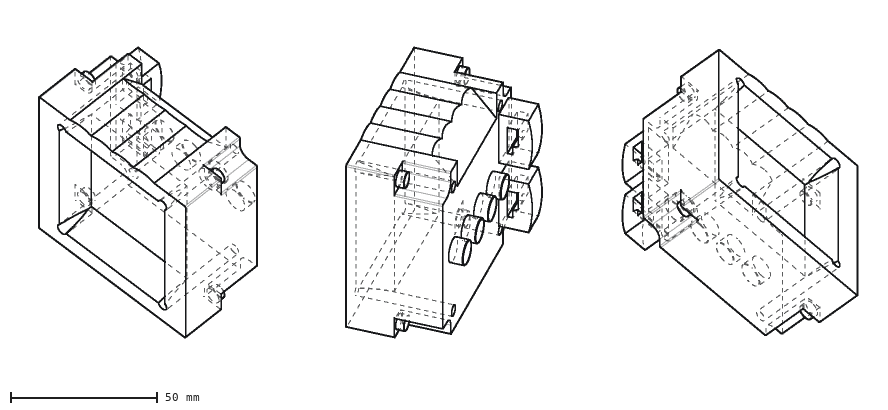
import cadquery as cq
import math

WIDTH = 70.0
HEIGHT = 70.0
FRAME_DEPTH = 13.1
BLOCK_DEPTH = 35.0
EDGE_RADIUS = 0.5
MID_HEIGHT = HEIGHT / 2

RIDGE_COUNT = 4
RIDGE_PITCH = 10.0
RIDGE_HEIGHT = 1.0
RIDGE_LENGTH = 25.9
RIDGE_ROW_WIDTH = RIDGE_COUNT * RIDGE_PITCH

SLOPE_ANGLE = 50

WINDOW_WIDTH = 50.4
WINDOW_HEIGHT = 54.2
WINDOW_INSET = 2.5
CORNER_HOLE_DIAMETER = 4.0
CORNER_HOLE_SPAN_X = 48.0
CORNER_HOLE_SPAN_Z = 53.2

SCREW_EDGE_DISTANCE = 4.2
SCREW_X = -WIDTH / 2 + SCREW_EDGE_DISTANCE
SCREW_Z = HEIGHT - SCREW_EDGE_DISTANCE
RECESS_DIAMETER = 8.0
RECESS_FLOOR = 17.5
SCREW_HEAD_DIAMETER = 5.8
SCREW_HEAD_HEIGHT = 3.0
SCREW_HEAD_CHAMFER = 0.15

BOSS_COUNT = 4
BOSS_PITCH = 12.9
BOSS_ROW_CENTER_X = 5.1
BOSS_DIAMETER = 9.0
BOSS_HEIGHT = 5.2
BOSS_CHAMFER = 0.2

LUG_CENTER_X = -27.4
LUG_WIDTH = 10.0
LUG_HEIGHT = 20.9
LUG_PITCH = 27.25
LUG_SIDE_LENGTH = 10.8
LUG_CROWN_LENGTH = 12.1
SLOT_NEAR = 3.1
SLOT_STEP = 5.0
SLOT_FAR = 6.95
SLOT_HEIGHT = 11.1
SLOT_RAMP_TOP = 4.0
SLOT_RAMP_BOTTOM = 3.05


def box(x_min, x_max, y_min, y_max, z_min, z_max):
    size = (x_max - x_min, y_max - y_min, z_max - z_min)
    return cq.Workplane("XY").box(*size, centered=False).translate((x_min, y_min, z_min))


def facing_rear(y):
    """Workplane at depth y whose normal is +Y; its local axes are -X and Z."""
    return cq.Workplane(cq.Plane(origin=(0, y, 0), xDir=(-1, 0, 0), normal=(0, 1, 0)))


def make_front_block():
    """Frame and the front stretch of the housing, ahead of the corner recesses."""
    block = box(-WIDTH / 2, WIDTH / 2, 0, RECESS_FLOOR, 0, HEIGHT)
    return block.edges("|Y").fillet(EDGE_RADIUS)


def make_rear_block():
    """Rear stretch of the housing with its four recessed corners."""
    block = box(-WIDTH / 2, WIDTH / 2, RECESS_FLOOR, BLOCK_DEPTH, 0, HEIGHT)
    block = block.cut(at_all_corners(make_corner_recess()))
    outer_edges = block.faces("<X or >X or <Z or >Z").edges("|Y")
    return outer_edges.fillet(EDGE_RADIUS)


def make_ridges():
    x = -RIDGE_ROW_WIDTH / 2
    profile = facing_rear(0).moveTo(-x, HEIGHT)
    for _ in range(RIDGE_COUNT):
        crest = (-(x + RIDGE_PITCH / 2), HEIGHT + RIDGE_HEIGHT)
        x += RIDGE_PITCH
        profile = profile.threePointArc(crest, (-x, HEIGHT))
    profile = profile.lineTo(-x, MID_HEIGHT).lineTo(RIDGE_ROW_WIDTH / 2, MID_HEIGHT).close()
    return profile.extrude(RIDGE_LENGTH)


def make_slope_cutter():
    """Wedge falling from the ridge crests to the rear face."""
    rise_per_depth = math.tan(math.radians(SLOPE_ANGLE))
    start_y = RIDGE_LENGTH - RIDGE_HEIGHT / rise_per_depth
    top = HEIGHT + RIDGE_HEIGHT
    bottom = top - (BLOCK_DEPTH - start_y) * rise_per_depth
    points = [(start_y, top), (BLOCK_DEPTH, top), (BLOCK_DEPTH, bottom)]
    profile = cq.Workplane("YZ").polyline(points).close()
    return profile.extrude(RIDGE_ROW_WIDTH / 2, both=True)


def make_window():
    return (
        facing_rear(0).center(0, MID_HEIGHT).rect(WINDOW_WIDTH, WINDOW_HEIGHT)
        .workplane(offset=FRAME_DEPTH)
        .rect(WINDOW_WIDTH - 2 * WINDOW_INSET, WINDOW_HEIGHT - 2 * WINDOW_INSET)
        .loft(combine=True)
    )


def make_corner_holes():
    return (
        facing_rear(0).center(0, MID_HEIGHT)
        .rect(CORNER_HOLE_SPAN_X, CORNER_HOLE_SPAN_Z, forConstruction=True).vertices()
        .circle(CORNER_HOLE_DIAMETER / 2).extrude(BLOCK_DEPTH)
    )


def at_all_corners(shape):
    """Copies of a shape made at the -X, +Z corner, mirrored to all four corners."""
    pair = shape.union(shape.mirror("YZ"))
    return pair.union(pair.mirror("XY", (0, 0, MID_HEIGHT)))


def make_corner_recess():
    radius = RECESS_DIAMETER / 2
    depth = BLOCK_DEPTH - RECESS_FLOOR
    bore = facing_rear(RECESS_FLOOR).center(-SCREW_X, SCREW_Z).circle(radius).extrude(depth)
    side_opening = box(-WIDTH / 2, SCREW_X, RECESS_FLOOR, BLOCK_DEPTH, SCREW_Z - radius, HEIGHT)
    top_opening = box(-WIDTH / 2, SCREW_X + radius, RECESS_FLOOR, BLOCK_DEPTH, SCREW_Z, HEIGHT)
    return bore.union(side_opening).union(top_opening)


def make_screw_head():
    outline = facing_rear(RECESS_FLOOR).center(-SCREW_X, SCREW_Z).circle(SCREW_HEAD_DIAMETER / 2)
    head = outline.extrude(SCREW_HEAD_HEIGHT)
    return head.faces(">Y").chamfer(SCREW_HEAD_CHAMFER)


def make_bosses():
    first_x = BOSS_ROW_CENTER_X - BOSS_PITCH * (BOSS_COUNT - 1) / 2
    centers = [(-(first_x + BOSS_PITCH * i), MID_HEIGHT) for i in range(BOSS_COUNT)]
    bosses = facing_rear(BLOCK_DEPTH).pushPoints(centers).circle(BOSS_DIAMETER / 2).extrude(BOSS_HEIGHT)
    return bosses.faces(">Y").chamfer(BOSS_CHAMFER)


def make_lug(center_z):
    plane = cq.Plane(origin=(LUG_CENTER_X, BLOCK_DEPTH, center_z), xDir=(0, 1, 0), normal=(1, 0, 0))
    half_height = LUG_HEIGHT / 2
    lug = (
        cq.Workplane(plane).moveTo(0, -half_height).lineTo(LUG_SIDE_LENGTH, -half_height)
        .threePointArc((LUG_CROWN_LENGTH, 0), (LUG_SIDE_LENGTH, half_height))
        .lineTo(0, half_height).close().extrude(LUG_WIDTH / 2, both=True)
    )
    half_slot = SLOT_HEIGHT / 2
    slot_points = [
        (SLOT_NEAR, half_slot),
        (SLOT_FAR, half_slot),
        (SLOT_FAR, SLOT_RAMP_TOP - half_slot),
        (SLOT_STEP, SLOT_RAMP_BOTTOM - half_slot),
        (SLOT_STEP, -half_slot),
        (SLOT_NEAR, -half_slot),
    ]
    slot = cq.Workplane(plane).polyline(slot_points).close().extrude(LUG_WIDTH / 2, both=True)
    return lug.cut(slot)


result = make_front_block().union(make_rear_block())
result = result.union(make_ridges()).cut(make_slope_cutter())
result = result.cut(make_window()).cut(make_corner_holes())
result = result.union(at_all_corners(make_screw_head())).union(make_bosses())
for side in (-1, 1):
    result = result.union(make_lug(MID_HEIGHT + side * LUG_PITCH / 2))